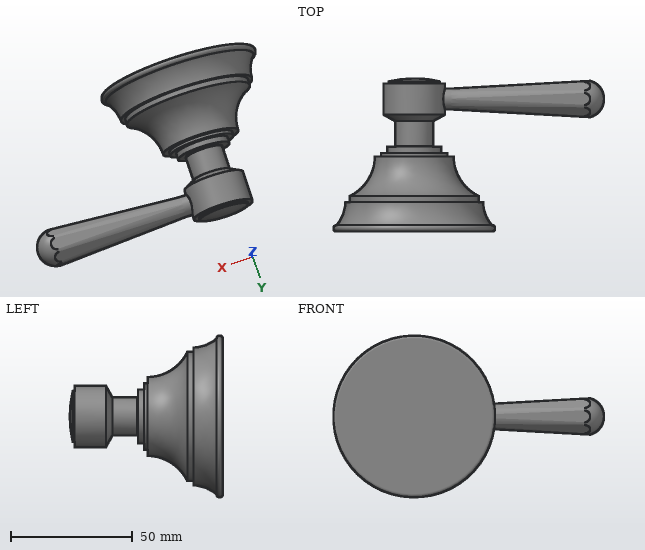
import cadquery as cq
import math

flange_radius = 33.3
bead_height = 2.7
bead_round = bead_height / 2
foot_radius = 28.4
foot_end = 12.1
step_radius = 26.6
step_end = 14.6

bell_top_radius = 16.3
bell_end = 31.0
lower_collar_radius = 13.7
lower_collar_end = 32.4
upper_collar_radius = 11.1
upper_collar_end = 35.0

stem_radius = 7.9
stem_groove_radius = 7.7
stem_groove_height = 0.3
stem_start = upper_collar_end + stem_groove_height
stem_end = 45.5
hub_radius = 12.7
hub_start = 48.1
hub_end = 61.0
cap_radius = 10.6
cap_edge_bulge = 0.2
cap_edge_end = 61.8
total_height = 63.1

lever_axis_height = (hub_start + hub_end) / 2
overall_length = 111.4
lever_reach = overall_length - flange_radius
ball_radius = 7.8
ball_center = lever_reach - ball_radius
neck_radius = 4.3
neck_end = 15.2
flat_count = 8
flat_depth_at_ball = 0.39
taper_hollow = 0.07


def cove_middle(bottom, top):
    """Middle of the concave arc from bottom to top that ends parallel to the axis at the top."""
    flare = bottom[0] - top[0]
    drop = top[1] - bottom[1]
    radius = (flare**2 + drop**2) / (2 * flare)
    half_sweep = math.asin(drop / radius) / 2
    return (
        top[0] + radius * (1 - math.cos(half_sweep)),
        top[1] - radius * math.sin(half_sweep),
    )


def make_body():
    """Turned body: flange, bell, collars, stem, hub and domed cap."""
    bead_flat_radius = flange_radius - bead_round
    bead_top = (bead_flat_radius, bead_height)
    foot_top = (foot_radius, foot_end)
    bell_bottom = (step_radius, step_end)
    bell_top = (bell_top_radius, bell_end)
    cap_rim_radius = cap_radius - cap_edge_bulge
    profile = (
        cq.Workplane("XY")
        .lineTo(bead_flat_radius, 0)
        .threePointArc((flange_radius, bead_round), bead_top)
        .threePointArc(cove_middle(bead_top, foot_top), foot_top)
        .lineTo(step_radius, foot_end)
        .lineTo(*bell_bottom)
        .threePointArc(cove_middle(bell_bottom, bell_top), bell_top)
        .lineTo(lower_collar_radius, bell_end)
        .lineTo(lower_collar_radius, lower_collar_end)
        .lineTo(upper_collar_radius, lower_collar_end)
        .lineTo(upper_collar_radius, upper_collar_end)
        .lineTo(stem_groove_radius, upper_collar_end)
        .lineTo(stem_groove_radius, stem_start)
        .lineTo(stem_radius, stem_start)
        .lineTo(stem_radius, stem_end)
        .lineTo(hub_radius, hub_start)
        .lineTo(hub_radius, hub_end)
        .lineTo(cap_rim_radius, hub_end)
        .threePointArc((cap_radius, (hub_end + cap_edge_end) / 2), (cap_rim_radius, cap_edge_end))
    )
    rise = total_height - cap_edge_end
    dome_radius = (cap_rim_radius**2 + rise**2) / (2 * rise)
    half_way = cap_rim_radius / 2
    dome_middle = (half_way, total_height - dome_radius + math.sqrt(dome_radius**2 - half_way**2))
    profile = profile.threePointArc(dome_middle, (0, total_height)).close()
    return profile.revolve(360, (0, 0), (0, 1))


def make_round_lever():
    """Round lever along +X: straight neck, slightly hollow taper and ball end."""
    taper_middle = (
        (neck_end + ball_center) / 2,
        (neck_radius + ball_radius) / 2 - taper_hollow,
    )
    diagonal = ball_radius * math.sqrt(0.5)
    return (
        cq.Workplane("XY")
        .lineTo(0, neck_radius)
        .lineTo(neck_end, neck_radius)
        .threePointArc(taper_middle, (ball_center, ball_radius))
        .threePointArc((ball_center + diagonal, diagonal), (lever_reach, 0))
        .close()
        .revolve(360, (0, 0), (1, 0))
    )


def make_flat_cutter():
    """Wedge above one tilted flat, which starts level with the neck and runs past the ball."""
    slope = (ball_radius - flat_depth_at_ball - neck_radius) / (ball_center - neck_end)
    end_height = neck_radius + slope * (lever_reach - neck_end)
    return (
        cq.Workplane("XZ")
        .moveTo(neck_end, neck_radius)
        .lineTo(lever_reach, end_height)
        .lineTo(lever_reach, 2 * ball_radius)
        .lineTo(neck_end, 2 * ball_radius)
        .close()
        .extrude(ball_radius, both=True)
    )


def make_lever():
    """Lever with evenly spaced flats around its taper."""
    lever = make_round_lever()
    cutter = make_flat_cutter()
    for index in range(flat_count):
        angle = index * 360 / flat_count
        lever = lever.cut(cutter.rotate((0, 0, 0), (1, 0, 0), angle))
    return lever.translate((0, lever_axis_height, 0))


result = make_body().union(make_lever())